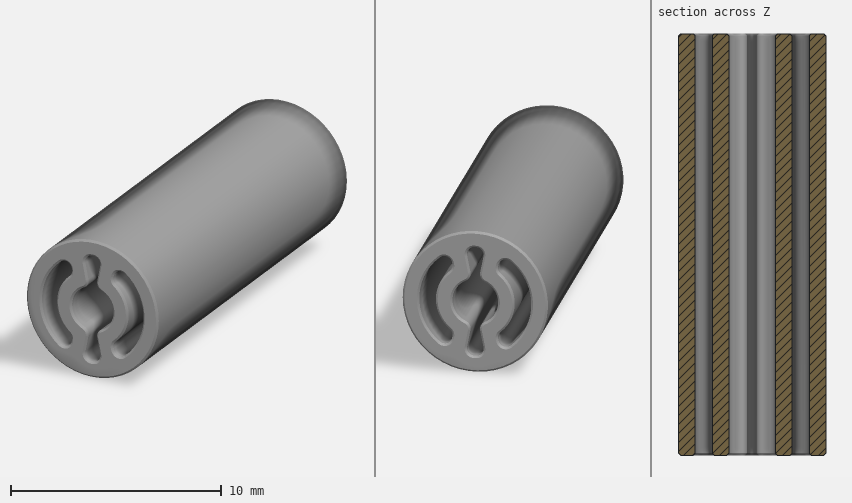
import cadquery as cq
import math

length = 20.0
outer_radius = 3.5
bore_radius = 1.1
wall = 0.8
edge_chamfer = 0.1

keyway_half_width = 0.4
keyway_lean = 11.0
slot_end_lean = 14.0
passage_fillet = 0.35
mouth_fillet = 0.4

ring_outer = outer_radius - wall
ring_inner = bore_radius + wall
ring_middle = (ring_outer + ring_inner) / 2


def section():
    """Sketch plane on the +Y end; positive extrusion runs towards -Y."""
    return cq.Workplane("XZ", origin=(0, length / 2, 0))


def side_x(z, lean, offset):
    """X of a line leaning from Z, offset beyond the keyway's half width."""
    slope = math.tan(math.radians(lean))
    sideways = offset / math.cos(math.radians(lean))
    return keyway_half_width + sideways + (z - ring_middle) * slope


def curved_slot():
    """Arc-shaped passage on the +X side, cut off by a leaning wall at each end."""
    middle_x = side_x(0, slot_end_lean, wall)
    top_x = side_x(outer_radius, slot_end_lean, wall)
    side_region = (
        section()
        .moveTo(middle_x, 0)
        .lineTo(top_x, outer_radius)
        .lineTo(outer_radius, outer_radius)
        .lineTo(outer_radius, -outer_radius)
        .lineTo(top_x, -outer_radius)
        .close()
        .extrude(length)
    )
    ring = section().circle(ring_outer).circle(ring_inner).extrude(length)
    return ring.intersect(side_region).edges("|Y").fillet(passage_fillet)


def upper_keyway():
    """Keyway above the bore, widening outwards to a rounded end."""
    foot_z = bore_radius - edge_chamfer
    foot_x = side_x(foot_z, keyway_lean, 0)
    top_x = side_x(outer_radius, keyway_lean, 0)
    wedge = (
        section()
        .moveTo(foot_x, foot_z)
        .lineTo(top_x, outer_radius)
        .lineTo(-top_x, outer_radius)
        .lineTo(-foot_x, foot_z)
        .close()
        .extrude(length)
    )
    keyway = wedge.intersect(section().circle(ring_outer).extrude(length))
    outer_corners = keyway.edges("|Y").edges(cq.selectors.BoxSelector(
        (-ring_outer, -length, ring_middle),
        (ring_outer, length, outer_radius),
    ))
    return outer_corners.fillet(passage_fillet)


def keyed_bore():
    """Central bore with a keyway above and below."""
    keyway = upper_keyway()
    bore = section().circle(bore_radius).extrude(length)
    bore = bore.union(keyway).union(keyway.mirror("XY"))
    mouth_corners = bore.edges("|Y").edges(cq.selectors.BoxSelector(
        (-keyway_half_width, -length, -bore_radius),
        (keyway_half_width, length, bore_radius),
    ))
    return mouth_corners.fillet(mouth_fillet)


slot = curved_slot()
body = section().circle(outer_radius).extrude(length)
body = body.cut(slot).cut(slot.mirror("YZ")).cut(keyed_bore())
result = body.faces("<Y or >Y").edges().chamfer(edge_chamfer)